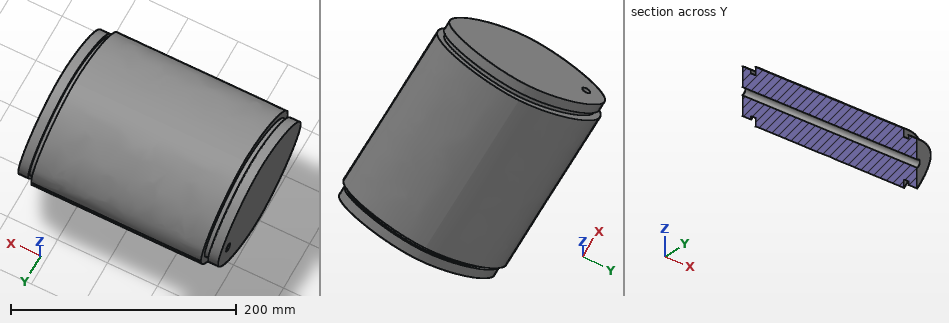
import cadquery as cq

LENGTH = 200.0
WIDTH = 166.5
HEIGHT = 100.0

TIP_REACH = 24.0
CROWN_REACH = 35.5

FLANGE_LENGTH = 10.0
GROOVE_LENGTH = 5.0
FLANGE_INSET = 4.0
GROOVE_INSET = 7.0

HOLE_DIAMETER = 8.0
HOLE_Y = 60.0

BODY_LENGTH = LENGTH - 2 * (FLANGE_LENGTH + GROOVE_LENGTH)
CORE_LENGTH = LENGTH - 2 * FLANGE_LENGTH


def lens_bar(start_x, length, inset=0.0):
    """Straight bar along X with a lens section whose outline sits inset inside the body outline."""
    half_width = WIDTH / 2 - inset
    half_height = HEIGHT / 2 - inset
    tip_reach = TIP_REACH - inset
    outline = cq.Workplane("YZ", origin=(start_x, 0, 0)).moveTo(half_width, 0)
    for tip_side, crown_side, from_tip in ((1, 1, True), (-1, 1, False), (-1, -1, True), (1, -1, False)):
        quarter = [
            (tip_side * half_width, 0),
            (tip_side * half_width, crown_side * tip_reach),
            (tip_side * CROWN_REACH, crown_side * half_height),
            (0, crown_side * half_height),
        ]
        outline = outline.bezier(quarter if from_tip else quarter[::-1])
    return outline.close().extrude(length)


body = lens_bar(-BODY_LENGTH / 2, BODY_LENGTH)

core = lens_bar(-CORE_LENGTH / 2, CORE_LENGTH, GROOVE_INSET)

result = body.union(core)

for flange_start in (-LENGTH / 2, LENGTH / 2 - FLANGE_LENGTH):
    result = result.union(lens_bar(flange_start, FLANGE_LENGTH, FLANGE_INSET))

hole = (
    cq.Workplane("YZ", origin=(-LENGTH / 2, 0, 0))
    .center(HOLE_Y, 0)
    .circle(HOLE_DIAMETER / 2)
    .extrude(LENGTH)
)
result = result.cut(hole)